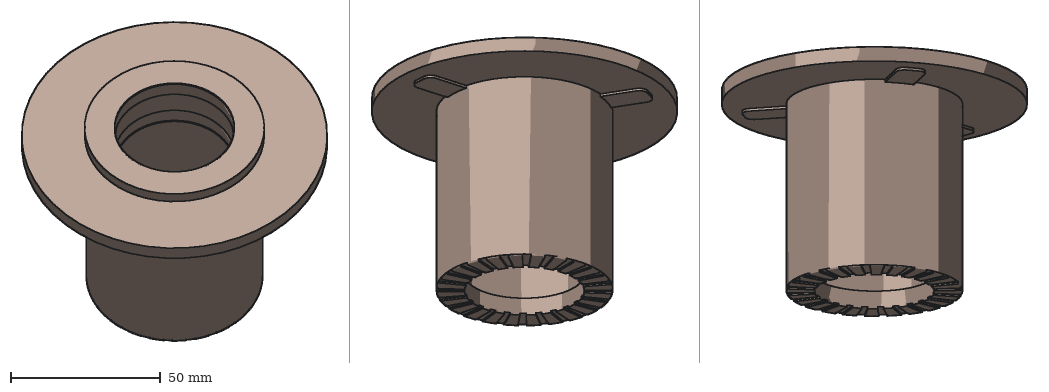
import cadquery as cq
import math

total_height = 74.0
boss_height = 3.8
flange_thickness = 5.0
flange_top = total_height - boss_height
flange_bottom = flange_top - flange_thickness

flange_diameter = 102.0
boss_diameter = 60.0
tube_diameter = 59.0
tube_bottom_fillet = 0.66

bore_diameter = 40.0
groove_diameter = 48.0
groove_height = 5.0
groove_pitch = 13.0
groove_count = 2
land_height = 0.5
groove_bottoms = [
    total_height - land_height - groove_height - i * groove_pitch for i in range(groove_count)
]

chamber_diameter = 46.8
chamber_top = groove_bottoms[-1] - land_height
lip_height = 6.1

seal_inner_diameter = 39.2

rib_count = 3
rib_first_angle = 90.0
rib_reach = 44.8
rib_width = 10.0
rib_height = 0.9
rib_corner_radius = 3.0

notch_count = 24
notch_pitch = 360 / notch_count
notch_angle = 5.7
notch_depth = 0.6


def cylinder(diameter, bottom, top):
    return cq.Workplane("XY", origin=(0, 0, bottom)).circle(diameter / 2).extrude(top - bottom)


def make_rib(angle):
    rib = (
        cq.Workplane("XY", origin=(0, 0, flange_bottom - rib_height))
        .center(rib_reach / 2, 0)
        .rect(rib_reach, rib_width)
        .extrude(rib_height)
        .edges("|Z and >X")
        .fillet(rib_corner_radius)
    )
    return rib.rotate((0, 0, 0), (0, 0, 1), angle)


def make_notch_cutter(angle):
    """A wedge from the axis to well outside the tube."""
    half_angle = math.radians(notch_angle / 2)
    x = tube_diameter * math.cos(half_angle)
    y = tube_diameter * math.sin(half_angle)
    wedge = cq.Workplane("XY").polyline([(0, 0), (x, -y), (x, y)]).close().extrude(notch_depth)
    return wedge.rotate((0, 0, 0), (0, 0, 1), angle)


def make_housing():
    body = cylinder(tube_diameter, 0, flange_bottom).edges("<Z").fillet(tube_bottom_fillet)
    body = body.union(cylinder(flange_diameter, flange_bottom, flange_top))
    body = body.union(cylinder(boss_diameter, flange_top, total_height))

    for i in range(rib_count):
        body = body.union(make_rib(rib_first_angle + i * 360 / rib_count))

    body = body.cut(cylinder(bore_diameter, 0, total_height))
    for bottom in groove_bottoms:
        body = body.cut(cylinder(groove_diameter, bottom, bottom + groove_height))
    body = body.cut(cylinder(chamber_diameter, lip_height, chamber_top))

    for i in range(notch_count):
        body = body.cut(make_notch_cutter((i + 0.5) * notch_pitch))
    return body


def make_seal(bottom):
    """A ring that fills its groove and bulges inward past the bore."""
    top = bottom + groove_height
    middle = bottom + groove_height / 2
    section = (
        cq.Workplane("XZ")
        .moveTo(groove_diameter / 2, bottom)
        .lineTo(groove_diameter / 2, top)
        .lineTo(bore_diameter / 2, top)
        .threePointArc((seal_inner_diameter / 2, middle), (bore_diameter / 2, bottom))
        .close()
    )
    return section.revolve(360, (0, 0, 0), (0, 1, 0))


housing = make_housing()
seals = [make_seal(bottom) for bottom in groove_bottoms]

result = cq.Compound.makeCompound([housing.solids().val(), *[seal.val() for seal in seals]])